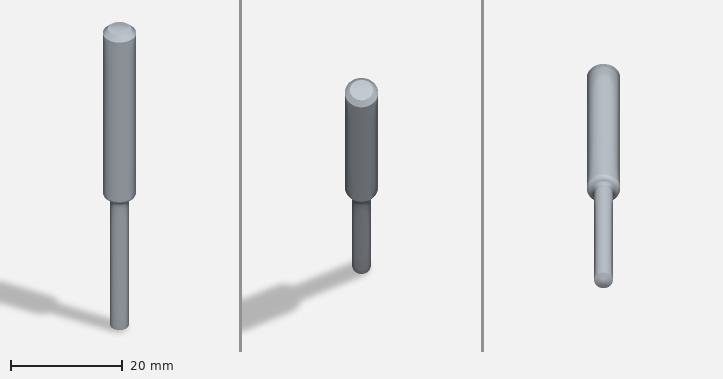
import cadquery as cq
import math

total_length = 66.0
shank_radius = 6.0 / 2
neck_radius = 3.35 / 2

tip_joint_z = 17.55
shoulder_bottom_z = 28.3
shoulder_top_z = 29.9

end_chamfer = 0.9
point_angle = 140.0
point_height = neck_radius / math.tan(math.radians(point_angle / 2))

shoulder_arc_radius = 1.0
shoulder_edge_radius = 2.2
shoulder_edge_z = (shoulder_top_z + shoulder_bottom_z) / 2


def make_shank():
    """Chamfered shank that narrows through a rounded shoulder to the neck."""
    profile = (
        cq.Workplane("XZ")
        .moveTo(0, total_length)
        .lineTo(shank_radius - end_chamfer, total_length)
        .lineTo(shank_radius, total_length - end_chamfer)
        .lineTo(shank_radius, shoulder_top_z)
        .radiusArc((shoulder_edge_radius, shoulder_edge_z), shoulder_arc_radius)
        .radiusArc((neck_radius, shoulder_bottom_z), -shoulder_arc_radius)
        .lineTo(neck_radius, tip_joint_z)
        .lineTo(0, tip_joint_z)
        .close()
    )
    return profile.revolve(360, (0, 0, 0), (0, 1, 0))


def make_cutting_tip():
    """Cylindrical tip with a conical point, butted against the neck."""
    profile = (
        cq.Workplane("XZ")
        .moveTo(0, tip_joint_z)
        .lineTo(neck_radius, tip_joint_z)
        .lineTo(neck_radius, point_height)
        .lineTo(0, 0)
        .close()
    )
    return profile.revolve(360, (0, 0, 0), (0, 1, 0))


shank = make_shank()
cutting_tip = make_cutting_tip()

result = cq.Compound.makeCompound([shank.val(), cutting_tip.val()])